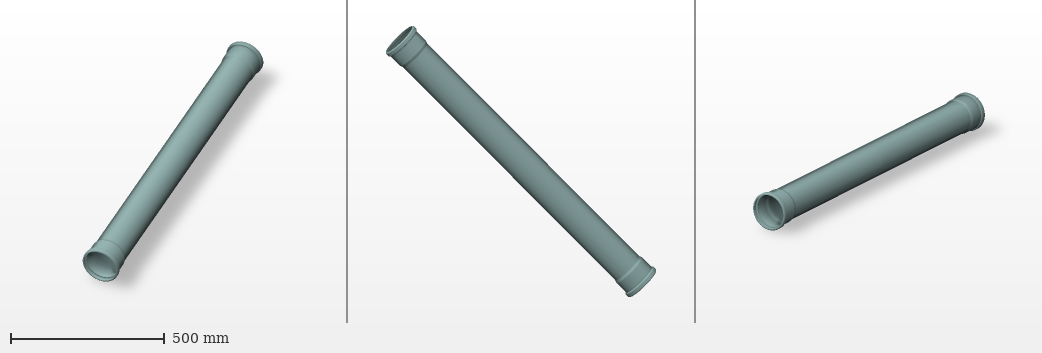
import cadquery as cq

length = 1140.0
pipe_diameter = 111.0
bore_diameter = 104.0

socket_inner_diameter = 112.0
socket_outer_diameter = 117.0
socket_depth = 64.0
transition_length = 9.0

bead_diameter = 128.0
groove_diameter = 122.0
bead_length = 18.0
bead_rounding = 5.0
mouth_diameter = 116.0
bead_wall = (bead_diameter - groove_diameter) / 2
groove_rounding = 1.7

half_length = length / 2
transition_end = half_length - socket_depth
transition_start = transition_end - transition_length


def cylinder(diameter, start, end):
    """Solid cylinder on the Y axis between two Y positions."""
    return cq.Workplane("XZ", origin=(0, start, 0)).circle(diameter / 2).extrude(start - end)


def flared_body(pipe_size, socket_size):
    """Solid half body: straight pipe, conical transition and socket."""
    return (
        cq.Workplane("XY")
        .lineTo(pipe_size / 2, 0)
        .lineTo(pipe_size / 2, transition_start)
        .lineTo(socket_size / 2, transition_end)
        .lineTo(socket_size / 2, half_length)
        .lineTo(0, half_length)
        .close()
        .revolve(360, (0, 0, 0), (0, 1, 0))
    )


def bead():
    """Rounded outer form of the sealing bead."""
    ring = cylinder(bead_diameter, half_length - bead_length, half_length)
    return ring.edges().fillet(bead_rounding)


def bead_cavity():
    """Rounded seal groove and the mouth opening in front of it."""
    groove = cylinder(groove_diameter, half_length - bead_length + bead_wall, half_length - bead_wall)
    mouth = cylinder(mouth_diameter, half_length - bead_length + bead_wall, half_length)
    return groove.edges().fillet(groove_rounding).union(mouth)


def half_pipe():
    """Hollow half of the pipe on the +Y side."""
    outside = flared_body(pipe_diameter, socket_outer_diameter).union(bead())
    inside = flared_body(bore_diameter, socket_inner_diameter).union(bead_cavity())
    return outside.cut(inside)


half = half_pipe()
result = half.union(half.mirror("XZ")).clean()